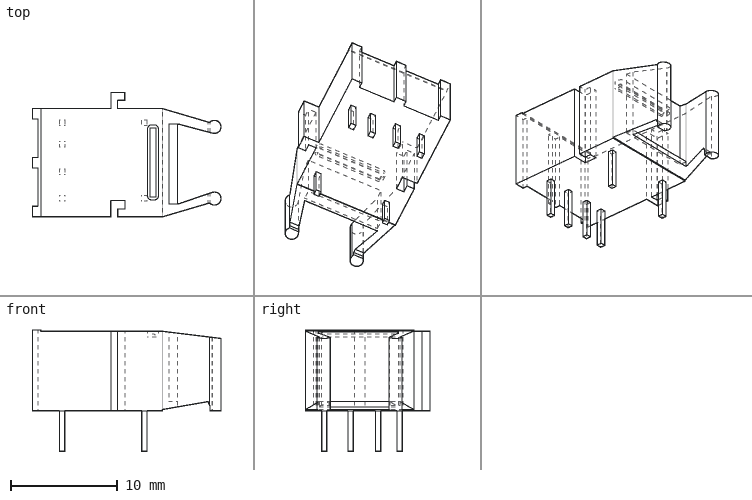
import cadquery as cq

total_length = 17.71
body_length = 12.2
body_width = 10.18
body_height = 7.47
body_mid_y = body_width / 2

rear_wall_thickness = 0.8
rear_wall_height = 7.6
rib_depth = 0.51
rib_width = 1.01

hook_x = 7.37
hook_neck = 0.62
hook_head_length = 1.31
hook_reach = 1.52
hook_lip = 0.76

window_center_x = 11.32
window_center_y = 5.12
window_length = 7.03
window_width = 1.01
window_corner = 0.35
bar_radius = 0.3
bar_length = 6.45
bar_top_gap = 0.27
window_depth = bar_top_gap + bar_radius

frame_end_x = 12.82
ledge_end_x = 13.62
ledge_height = 0.89
throat_low_y = 1.2
throat_high_y = 8.73
bead_radius = 0.62
bead_x = total_length - bead_radius
bead_offset = 3.36
arm_outer_end_x = 16.65
arm_outer_end_y = 1.31
arm_inner_end_x = 16.88
arm_inner_end_y = 2.32
tip_height = 6.8
arm_bottom_start = 0.1
arm_bottom_peak_x = 16.47
arm_bottom_peak = 0.85
arm_bottom_end_x = 16.65
arm_bottom_end = 0.48

pin_side = 0.51
pin_length = 3.8
pin_overlap = 0.18
rear_pin_x = 2.8
front_pin_x = 10.5
rear_pin_ys = (1.77, 4.25, 6.84, 8.85)
front_pin_ys = (1.77, 8.85)


def block(x0, x1, y0, y1, z0, z1):
    """Box between opposite corners."""
    return cq.Workplane("XY").box(x1 - x0, y1 - y0, z1 - z0, centered=False).translate((x0, y0, z0))


def hook_profile(root_y):
    """L-shaped prism rising in +Y from root_y, with its head pointing to +X."""
    tip_y = root_y + hook_reach
    neck = block(hook_x, hook_x + hook_neck, root_y, tip_y, 0, body_height)
    head = block(hook_x, hook_x + hook_head_length, tip_y - hook_lip, tip_y, 0, body_height)
    return neck.union(head)


def make_housing():
    housing = block(0, body_length, 0, body_width, 0, body_height)
    housing = housing.union(block(0, rear_wall_thickness, 0, body_width, 0, rear_wall_height))
    pocket_width = (body_width - 3 * rib_width) / 2
    for start_y in (rib_width, 2 * rib_width + pocket_width):
        housing = housing.cut(block(0, rib_depth, start_y, start_y + pocket_width, 0, rear_wall_height))
    return housing.cut(hook_profile(0)).union(hook_profile(body_width))


def make_window():
    """Rounded pocket less the half-round bar lying on its floor."""
    pocket = (
        cq.Workplane("XY", origin=(window_center_x, window_center_y, body_height - window_depth))
        .rect(window_width, window_length)
        .extrude(window_depth)
        .edges("|Z").fillet(window_corner)
    )
    bar_start_y = window_center_y - bar_length / 2
    bar = (
        cq.Workplane("XZ", origin=(window_center_x, bar_start_y, body_height - window_depth))
        .circle(bar_radius)
        .extrude(-bar_length)
    )
    return pocket.cut(bar)


def arm(throat_y):
    """Arm on the low-Y side, from the frame to its bead."""
    return (
        cq.Workplane("XY")
        .polyline([
            (body_length, 0),
            (arm_outer_end_x, arm_outer_end_y),
            (bead_x, body_mid_y - bead_offset),
            (arm_inner_end_x, arm_inner_end_y),
            (ledge_end_x, throat_y),
            (body_length, throat_y),
        ])
        .close()
        .extrude(body_height)
    )


def make_front():
    side_center = (0, body_mid_y, 0)
    arms = arm(throat_low_y).union(arm(body_width - throat_high_y).mirror("XZ", side_center))
    frame = block(body_length, frame_end_x, throat_low_y, throat_high_y, 0, body_height)
    ledge = block(body_length, ledge_end_x, throat_low_y, throat_high_y, 0, ledge_height)
    beads = (
        cq.Workplane("XY")
        .pushPoints([(bead_x, body_mid_y - bead_offset), (bead_x, body_mid_y + bead_offset)])
        .circle(bead_radius)
        .extrude(body_height)
    )
    silhouette = (
        cq.Workplane("XZ")
        .polyline([
            (body_length, arm_bottom_start),
            (arm_bottom_peak_x, arm_bottom_peak),
            (arm_bottom_end_x, arm_bottom_end),
            (arm_bottom_end_x, 0),
            (total_length, 0),
            (total_length, tip_height),
            (body_length, body_height),
        ])
        .close()
        .extrude(-body_width)
    )
    return arms.union(frame).union(ledge).union(beads).intersect(silhouette)


def make_pins():
    places = [(rear_pin_x, y) for y in rear_pin_ys]
    places += [(front_pin_x, y) for y in front_pin_ys]
    return (
        cq.Workplane("XY", origin=(0, 0, -pin_length))
        .pushPoints(places)
        .rect(pin_side, pin_side)
        .extrude(pin_length + pin_overlap)
    )


result = make_housing().union(make_front()).cut(make_window()).union(make_pins())